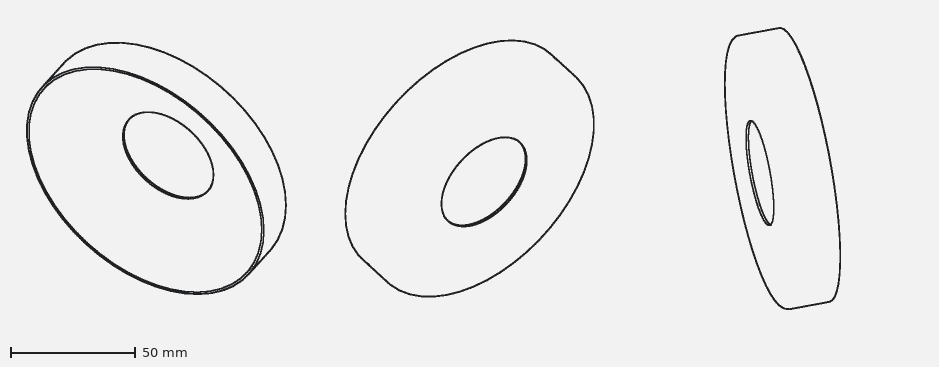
import cadquery as cq

outer_diameter = 112.0
depth = 18.4
wall = 1.0
hole_diameter = 42.8
outer_corner_radius = 2.0
inner_corner_radius = outer_corner_radius - wall


def disc(diameter, start_y, end_y):
    """Solid disc on the Y axis between two Y positions."""
    return (
        cq.Workplane("XZ", origin=(0, end_y, 0))
        .circle(diameter / 2)
        .extrude(end_y - start_y)
    )


body = disc(outer_diameter, 0, depth).faces(">Y").edges().fillet(outer_corner_radius)

cavity = disc(outer_diameter - 2 * wall, 0, depth - wall)
cavity = cavity.faces(">Y").edges().fillet(inner_corner_radius)

hole = disc(hole_diameter, 0, depth)

result = body.cut(cavity).cut(hole)